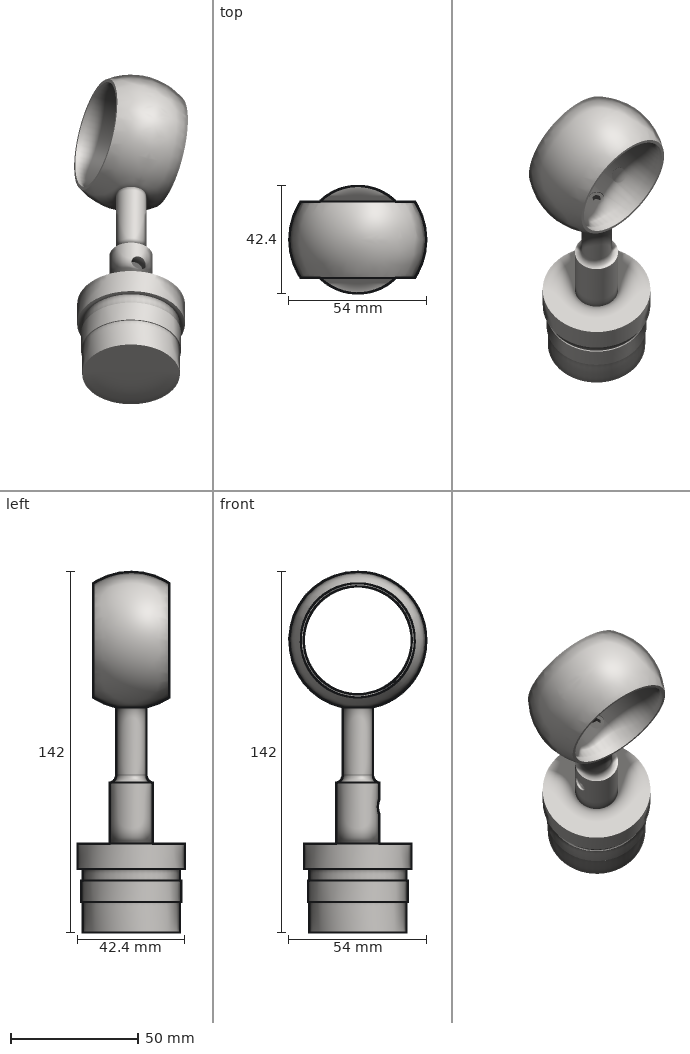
import cadquery as cq
import math

BALL_DIAMETER = 54.0
RING_WIDTH = 30.0
BORE_DIAMETER = 42.4
OVERALL_HEIGHT = 142.0
BORE_RADIUS = BORE_DIAMETER / 2
BALL_CENTER_Z = OVERALL_HEIGHT - BALL_DIAMETER / 2

PLUG_DIAMETER = 38.4
BAND_DIAMETER = 39.4
FLANGE_DIAMETER = 42.4
BAND_BOTTOM_Z = 12.0
BAND_TOP_Z = 20.5
FLANGE_BOTTOM_Z = 25.0
FLANGE_TOP_Z = 35.0

COLLAR_DIAMETER = 17.0
NECK_DIAMETER = 12.0
STEM_ROUND_RADIUS = 3.0
STEM_ROUND_TOP_Z = 61.95

COLLAR_HOLE_DIAMETER = 6.0
COLLAR_HOLE_Z = 49.5
COLLAR_HOLE_DEPTH = 4.0

SCREW_DIAMETER = 6.0
SCREW_RECESS = 0.2
SOCKET_ACROSS_FLATS = 3.0
SOCKET_DEPTH = 2.5
SOCKET_TURN = -6.0

SPOT_DIAMETER = 6.0
SPOT_RECESS = 0.1
SPOT_ANGLE = 35.0


def disc(diameter, bottom_z, top_z):
    """Cylinder on the Z axis between two heights."""
    return cq.Workplane("XY").workplane(offset=bottom_z).circle(diameter / 2).extrude(top_z - bottom_z)


def make_foot():
    plug = disc(PLUG_DIAMETER, 0, FLANGE_BOTTOM_Z)
    band = disc(BAND_DIAMETER, BAND_BOTTOM_Z, BAND_TOP_Z)
    flange = disc(FLANGE_DIAMETER, FLANGE_BOTTOM_Z, FLANGE_TOP_Z)
    return plug.union(band).union(flange)


def make_stem():
    """Collar and neck turned in one profile; the neck ends inside the ball."""
    collar_radius = COLLAR_DIAMETER / 2
    neck_radius = NECK_DIAMETER / 2
    neck_top_z = BALL_CENTER_Z - BORE_RADIUS
    round_center_x = neck_radius + STEM_ROUND_RADIUS
    round_end_z = STEM_ROUND_TOP_Z - math.sqrt(STEM_ROUND_RADIUS**2 - (round_center_x - collar_radius) ** 2)
    middle_angle = math.radians(225)
    mid_point = (
        round_center_x + STEM_ROUND_RADIUS * math.cos(middle_angle),
        STEM_ROUND_TOP_Z + STEM_ROUND_RADIUS * math.sin(middle_angle),
    )
    profile = (
        cq.Workplane("XZ")
        .moveTo(0, FLANGE_TOP_Z)
        .lineTo(collar_radius, FLANGE_TOP_Z)
        .lineTo(collar_radius, round_end_z)
        .threePointArc(mid_point, (neck_radius, STEM_ROUND_TOP_Z))
        .lineTo(neck_radius, neck_top_z)
        .lineTo(0, neck_top_z)
        .close()
    )
    return profile.revolve(360, (0, 0, 0), (0, 1, 0))


def make_ball():
    ball = cq.Workplane("XY").sphere(BALL_DIAMETER / 2)
    slab = cq.Workplane("XY").box(BALL_DIAMETER, RING_WIDTH, BALL_DIAMETER)
    return ball.intersect(slab).translate((0, 0, BALL_CENTER_Z))


def bore_cutter():
    bore = cq.Workplane("XZ").circle(BORE_RADIUS).extrude(RING_WIDTH, both=True)
    return bore.translate((0, 0, BALL_CENTER_Z))


def bore_pocket_cutter(diameter, recess, angle):
    """Flat-floored round pocket in the bore wall, tilted from straight down toward +X."""
    pocket = cq.Workplane("XY").circle(diameter / 2).extrude(-(BORE_RADIUS + recess))
    return pocket.rotate((0, 0, 0), (0, 1, 0), -angle).translate((0, 0, BALL_CENTER_Z))


def screw_socket_cutter():
    """Hexagonal key socket sunk into the screw end at the bottom of the bore."""
    screw_end_z = BALL_CENTER_Z - BORE_RADIUS - SCREW_RECESS
    across_corners = SOCKET_ACROSS_FLATS / math.cos(math.pi / 6)
    socket = cq.Workplane("XY").polygon(6, across_corners).extrude(-SOCKET_DEPTH)
    return socket.rotate((0, 0, 0), (0, 0, 1), SOCKET_TURN).translate((0, 0, screw_end_z))


def collar_hole_cutter():
    floor_x = COLLAR_DIAMETER / 2 - COLLAR_HOLE_DEPTH
    side_plane = cq.Workplane("YZ").workplane(offset=floor_x)
    return side_plane.center(0, COLLAR_HOLE_Z).circle(COLLAR_HOLE_DIAMETER / 2).extrude(COLLAR_DIAMETER)


result = make_foot().union(make_stem()).union(make_ball())
result = result.cut(bore_cutter())
result = result.cut(bore_pocket_cutter(SCREW_DIAMETER, SCREW_RECESS, 0))
result = result.cut(screw_socket_cutter())
result = result.cut(bore_pocket_cutter(SPOT_DIAMETER, SPOT_RECESS, SPOT_ANGLE))
result = result.cut(collar_hole_cutter())